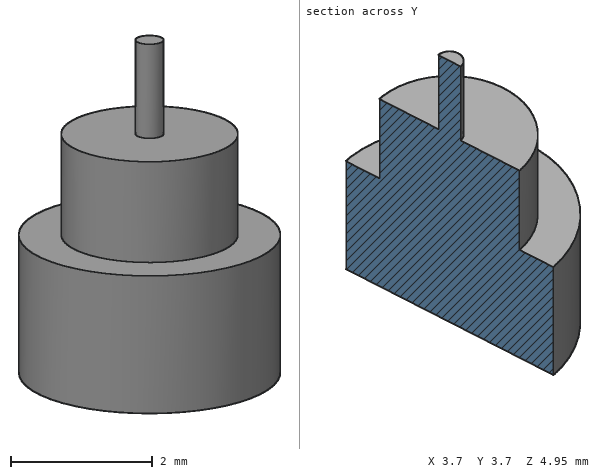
import cadquery as cq

BASE_DIAMETER = 3.7
BASE_HEIGHT = 2.05
COLLAR_DIAMETER = 2.5
COLLAR_HEIGHT = 1.5
INSULATOR_DIAMETER = 1.95
PIN_DIAMETER = 0.4
PIN_LENGTH = 1.4

collar_bottom = BASE_HEIGHT
collar_top = collar_bottom + COLLAR_HEIGHT


def cylinder(diameter, bottom, height):
    """Upright cylinder centred on the Z axis, standing on the level `bottom`."""
    return cq.Workplane("XY").workplane(offset=bottom).circle(diameter / 2).extrude(height)


base = cylinder(BASE_DIAMETER, 0, BASE_HEIGHT)
insulator = cylinder(INSULATOR_DIAMETER, collar_bottom, COLLAR_HEIGHT)
collar = cylinder(COLLAR_DIAMETER, collar_bottom, COLLAR_HEIGHT).cut(insulator)
pin = cylinder(PIN_DIAMETER, collar_top, PIN_LENGTH)

result = base.union(collar, clean=False).union(insulator, clean=False).union(pin, clean=False)